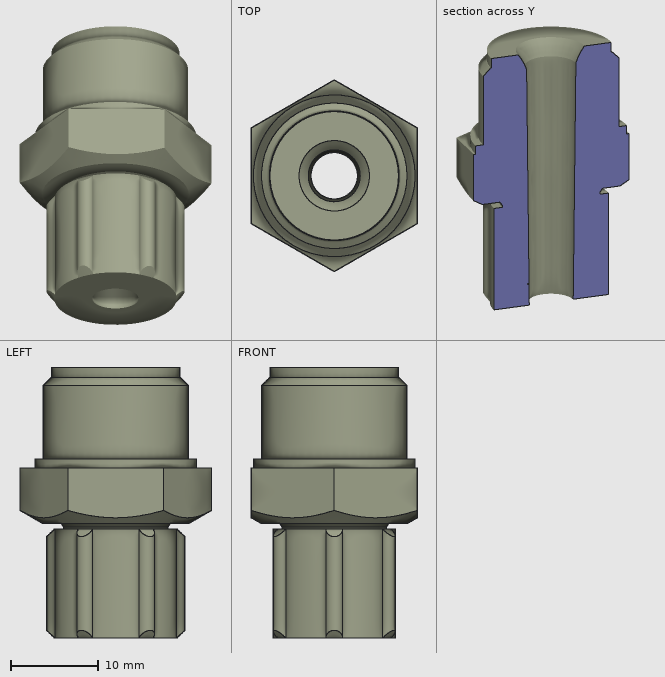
import cadquery as cq
import math

nut_top = 12.52
neck_cone_bottom = 12.75
hex_bottom = 13.15
hex_top = 19.5
flange_top = 20.52
shoulder_bottom = 28.92
shoulder_top = 29.82
total_height = 31

across_flats = 19.0
across_corners = across_flats / math.cos(math.radians(30))
hex_bottom_radius = 8.4
hex_chamfer_angle = 30
envelope_margin = 0.3

neck_radius = 12.0 / 2
neck_top_radius = 6.25
flange_radius = 18.5 / 2
sleeve_radius = 16.65 / 2
shoulder_top_radius = sleeve_radius - (shoulder_top - shoulder_bottom)
cap_radius = 14.7 / 2

nut_radius = 7.0
rib_count = 6
rib_radius = 0.95
rib_tip_radius = 7.9
rib_center_radius = rib_tip_radius - rib_radius
rib_chamfer = rib_tip_radius - nut_radius

bore_bottom_radius = 5.3 / 2
bore_top_radius = 2.98
mouth_radius = 4.03
mouth_depth = 1.95
mouth_bulge = 0.11


def revolve_profile(points):
    """Turn a closed (radius, height) polygon about Z."""
    return cq.Workplane("XZ").polyline(points).close().revolve(360, (0, 0), (0, 1))


def make_ribbed_nut():
    nut = cq.Workplane("XY").circle(nut_radius).extrude(nut_top)
    ribs = (
        cq.Workplane("XY")
        .polarArray(rib_center_radius, 90, 360, rib_count)
        .circle(rib_radius)
        .extrude(nut_top)
    )
    envelope = revolve_profile([
        (0, 0),
        (nut_radius, 0),
        (rib_tip_radius, rib_chamfer),
        (rib_tip_radius, nut_top - rib_chamfer),
        (nut_radius, nut_top),
        (0, nut_top),
    ])
    return nut.union(ribs.intersect(envelope))


def make_hexagon():
    blank = (
        cq.Workplane("XY", origin=(0, 0, hex_bottom))
        .transformed(rotate=(0, 0, 90))
        .polygon(6, across_corners)
        .extrude(hex_top - hex_bottom)
    )
    envelope_radius = across_corners / 2 + envelope_margin
    chamfer_rise = (envelope_radius - hex_bottom_radius) * math.tan(math.radians(hex_chamfer_angle))
    envelope = revolve_profile([
        (0, hex_bottom),
        (hex_bottom_radius, hex_bottom),
        (envelope_radius, hex_bottom + chamfer_rise),
        (envelope_radius, hex_top),
        (0, hex_top),
    ])
    return blank.intersect(envelope)


def make_neck():
    return revolve_profile([
        (0, nut_top),
        (neck_radius, nut_top),
        (neck_radius, neck_cone_bottom),
        (neck_top_radius, hex_bottom),
        (0, hex_bottom),
    ])


def make_upper_body():
    return revolve_profile([
        (0, hex_top),
        (flange_radius, hex_top),
        (flange_radius, flange_top),
        (sleeve_radius, flange_top),
        (sleeve_radius, shoulder_bottom),
        (shoulder_top_radius, shoulder_top),
        (cap_radius, shoulder_top),
        (cap_radius, total_height),
        (0, total_height),
    ])


def make_bore():
    mouth_bottom = total_height - mouth_depth
    mouth_middle = (
        (bore_top_radius + mouth_radius) / 2 - mouth_bulge,
        total_height - mouth_depth / 2,
    )
    return (
        cq.Workplane("XZ")
        .lineTo(bore_bottom_radius, 0)
        .lineTo(bore_top_radius, mouth_bottom)
        .threePointArc(mouth_middle, (mouth_radius, total_height))
        .lineTo(0, total_height)
        .close()
        .revolve(360, (0, 0), (0, 1))
    )


body = make_ribbed_nut().union(make_neck()).union(make_hexagon()).union(make_upper_body())
result = body.cut(make_bore())